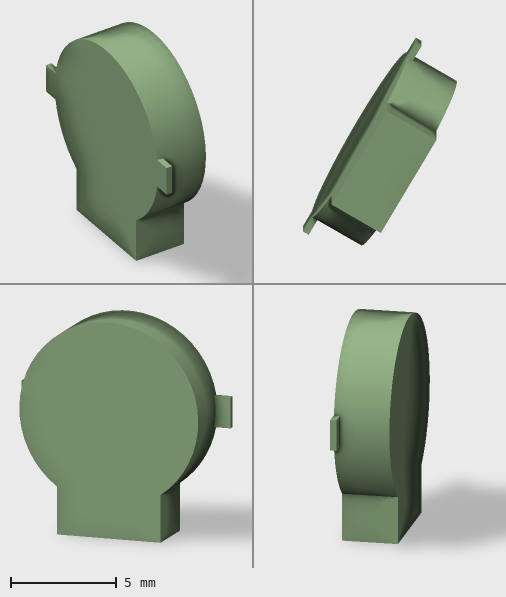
import cadquery as cq

body_radius = 4.49
body_depth = 2.7

foot_width = 5.2
foot_bottom_z = -5.98

tab_span = 10.5
tab_height = 1.5
tab_thickness = 0.3


def box_from_front(width, depth, bottom_z, top_z):
    """Box centred in X whose front face lies on the plane Y = 0."""
    height = top_z - bottom_z
    return (
        cq.Workplane("XY")
        .box(width, depth, height, centered=(True, False, False))
        .translate((0, 0, bottom_z))
    )


body = cq.Workplane("XZ").circle(body_radius).extrude(-body_depth)
foot = box_from_front(foot_width, body_depth, foot_bottom_z, 0)
tabs = box_from_front(tab_span, tab_thickness, -tab_height / 2, tab_height / 2)

result = body.union(foot).union(tabs).clean()